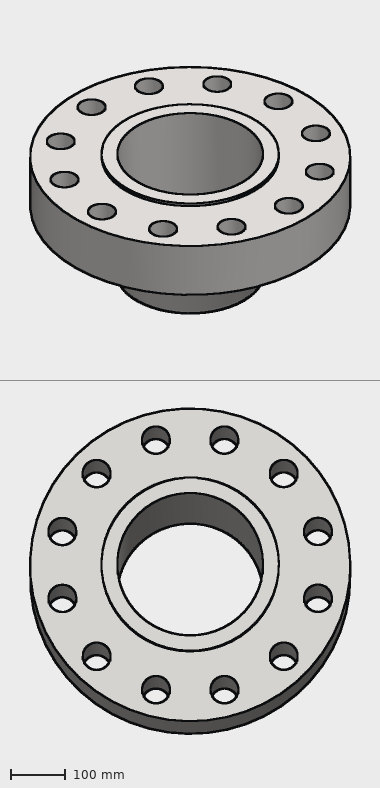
import cadquery as cq

flange_diameter = 584.0
total_height = 260.5
flange_thickness = 107.5
raised_face_diameter = 323.5
raised_face_height = 6.0

bore_diameter = 266.0
bolt_circle_diameter = 482.5
bolt_hole_diameter = 51.0
bolt_count = 12

neck_root_diameter = 369.0
neck_end_diameter = 273.5
neck_root_fillet = 17.5
weld_land_diameter = 270.0
weld_bevel_height = 7.0

flange_top = total_height - raised_face_height
flange_bottom = flange_top - flange_thickness


def make_body():
    """Revolve the outer profile of neck, flange and raised face about Z."""
    profile = (
        cq.Workplane("XZ")
        .lineTo(weld_land_diameter / 2, 0)
        .lineTo(neck_end_diameter / 2, weld_bevel_height)
        .lineTo(neck_root_diameter / 2, flange_bottom)
        .lineTo(flange_diameter / 2, flange_bottom)
        .lineTo(flange_diameter / 2, flange_top)
        .lineTo(raised_face_diameter / 2, flange_top)
        .lineTo(raised_face_diameter / 2, total_height)
        .lineTo(0, total_height)
        .close()
    )
    body = profile.revolve(360, (0, 0, 0), (0, 1, 0))
    neck_root = cq.selectors.RadiusNthSelector(-2)
    return body.edges("%CIRCLE").edges(neck_root).fillet(neck_root_fillet)


def make_bore():
    return cq.Workplane("XY").circle(bore_diameter / 2).extrude(total_height)


def make_bolt_holes():
    return (
        cq.Workplane("XY")
        .workplane(offset=flange_bottom)
        .polarArray(bolt_circle_diameter / 2, 0, 360, bolt_count)
        .circle(bolt_hole_diameter / 2)
        .extrude(flange_thickness)
    )


result = make_body().cut(make_bore()).cut(make_bolt_holes())